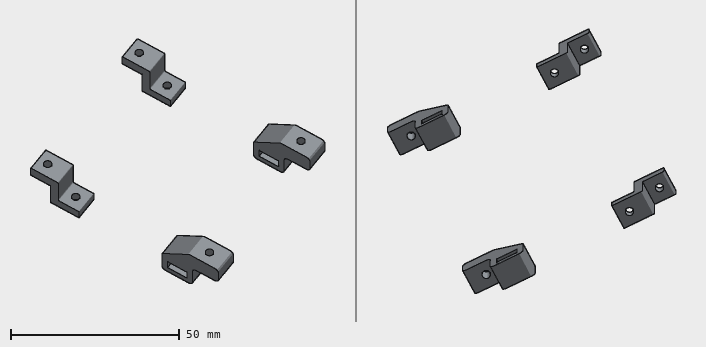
import cadquery as cq

TOTAL_LENGTH = 67.3
TOTAL_WIDTH = 57.0
TOTAL_HEIGHT = 14.95
DEPTH = 8.0
HOLE_DIAMETER = 2.5

STEP_LENGTH = 17.45
STEP_HEIGHT = 12.1
UPPER_ARM_REACH = 7.15
WEB_THICKNESS = 2.9
UPPER_ARM_THICKNESS = 3.7
LOWER_ARM_THICKNESS = 3.15
STEP_CORNER_RADIUS = 0.5
LOWER_TIP_RADIUS = 0.3
UPPER_HOLE_X = 3.5
LOWER_HOLE_X = 13.5

HOOK_LENGTH = 20.3
HOOK_HEIGHT = 14.75
BLOCK_LENGTH = 11.05
HOOK_ARM_THICKNESS = 6.25
SLOPE_LENGTH = 9.8
SLOPE_DROP = 7.1
HOOK_CORNER_RADIUS = 1.5
HOOK_SLOPE_RADIUS = 1.0
HOOK_INNER_RADIUS = 1.5
SLOT_WALL = 2.1
SLOT_HEIGHT = 2.95
HOOK_HOLE_X = 14.4

STEP_BOTTOM = TOTAL_HEIGHT - STEP_HEIGHT
HOOK_LEFT = TOTAL_LENGTH - HOOK_LENGTH
ROW_POSITIONS = (DEPTH / 2, TOTAL_WIDTH - DEPTH / 2)


def extrude_outline(points, center_y):
    """Extrude an XZ outline by the bracket depth, centred on center_y."""
    return (
        cq.Workplane("XZ", origin=(0, center_y, 0))
        .polyline(points)
        .close()
        .extrude(DEPTH / 2, both=True)
    )


def round_corners(body, corners, center_y, radius):
    """Fillet the depthwise edges that pass through the given XZ corners."""
    for x, z in corners:
        body = body.edges(cq.selectors.NearestToPointSelector((x, center_y, z))).fillet(radius)
    return body


def drill_vertical(body, x, center_y):
    """Drill a screw hole through the bracket from top to bottom."""
    drill = (
        cq.Workplane("XY", origin=(x, center_y, 0))
        .circle(HOLE_DIAMETER / 2)
        .extrude(TOTAL_HEIGHT)
    )
    return body.cut(drill)


def make_step_bracket(center_y):
    web_left = UPPER_ARM_REACH
    web_right = web_left + WEB_THICKNESS
    upper_underside = TOTAL_HEIGHT - UPPER_ARM_THICKNESS
    lower_top = STEP_BOTTOM + LOWER_ARM_THICKNESS

    upper_tip = [(0, upper_underside), (0, TOTAL_HEIGHT)]
    web_top = (web_right, TOTAL_HEIGHT)
    web_inner = (web_right, lower_top)
    lower_tip = [(STEP_LENGTH, lower_top), (STEP_LENGTH, STEP_BOTTOM)]
    web_bottom = (web_left, STEP_BOTTOM)
    outline = [
        *upper_tip,
        web_top,
        web_inner,
        *lower_tip,
        web_bottom,
        (web_left, upper_underside),
    ]

    body = extrude_outline(outline, center_y)
    step_corners = [*upper_tip, web_top, web_inner, web_bottom]
    body = round_corners(body, step_corners, center_y, STEP_CORNER_RADIUS)
    body = round_corners(body, lower_tip, center_y, LOWER_TIP_RADIUS)
    for hole_x in (UPPER_HOLE_X, LOWER_HOLE_X):
        body = drill_vertical(body, hole_x, center_y)
    return body


def make_hook_bracket(center_y):
    block_right = HOOK_LEFT + BLOCK_LENGTH
    arm_underside = HOOK_HEIGHT - HOOK_ARM_THICKNESS

    slope_ends = [
        (HOOK_LEFT, HOOK_HEIGHT - SLOPE_DROP),
        (HOOK_LEFT + SLOPE_LENGTH, HOOK_HEIGHT),
    ]
    arm_tip = [(TOTAL_LENGTH, HOOK_HEIGHT), (TOTAL_LENGTH, arm_underside)]
    inner_corner = (block_right, arm_underside)
    block_bottom = [(block_right, 0), (HOOK_LEFT, 0)]
    outline = [*slope_ends, *arm_tip, inner_corner, *block_bottom]

    body = extrude_outline(outline, center_y)
    body = round_corners(body, slope_ends, center_y, HOOK_SLOPE_RADIUS)
    body = round_corners(body, [*arm_tip, *block_bottom], center_y, HOOK_CORNER_RADIUS)
    body = round_corners(body, [inner_corner], center_y, HOOK_INNER_RADIUS)
    body = drill_vertical(body, HOOK_LEFT + HOOK_HOLE_X, center_y)

    slot = (
        cq.Workplane("XY", origin=(HOOK_LEFT + BLOCK_LENGTH / 2, center_y, SLOT_WALL))
        .box(BLOCK_LENGTH - 2 * SLOT_WALL, DEPTH, SLOT_HEIGHT, centered=(True, True, False))
    )
    return body.cut(slot)


step_brackets = [make_step_bracket(y) for y in ROW_POSITIONS]
hook_brackets = [make_hook_bracket(y) for y in ROW_POSITIONS]

result = cq.Compound.makeCompound([bracket.val() for bracket in step_brackets + hook_brackets])